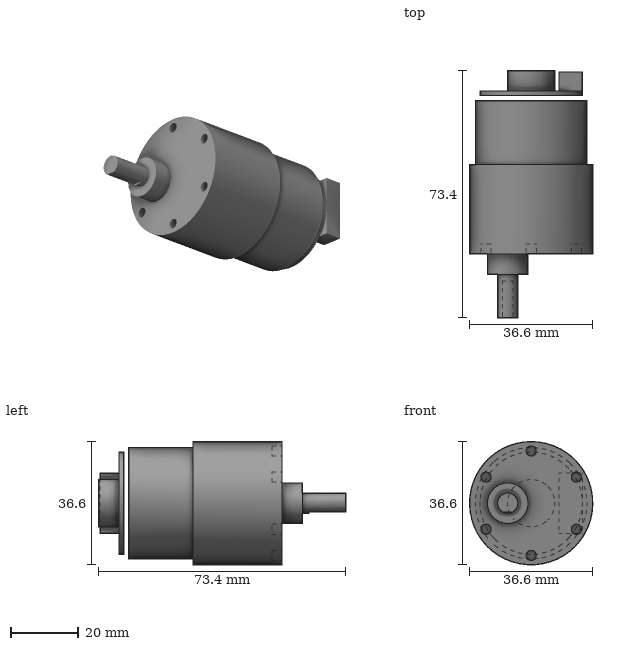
import cadquery as cq

OVERALL_LENGTH = 73.4
BOSS_LENGTH = 6.0
GEARBOX_LENGTH = 26.5
CAN_LENGTH = 19.0
BOARD_GAP = 1.5
BOARD_THICKNESS = 1.5
HUB_LENGTH = 6.0
CONNECTOR_LENGTH = 5.6

GEARBOX_DIAMETER = 36.6
CAN_DIAMETER = 33.1
BOSS_DIAMETER = 12.05
SHAFT_DIAMETER = 6.0
BOARD_DIAMETER = 30.4
HUB_DIAMETER = 14.0

SHAFT_OFFSET = 7.0
FLAT_DISTANCE = 2.6
ROUND_SHAFT_LENGTH = 2.0

HOLE_COUNT = 6
HOLE_DIAMETER = 3.0
HOLE_CIRCLE_DIAMETER = 31.0
HOLE_DEPTH = 3.0

CONNECTOR_WIDTH = 7.0
CONNECTOR_HEIGHT = 17.9

GEARBOX_FRONT = 0.0
GEARBOX_REAR = GEARBOX_FRONT + GEARBOX_LENGTH
CAN_REAR = GEARBOX_REAR + CAN_LENGTH
BOARD_FRONT = CAN_REAR + BOARD_GAP
BOARD_REAR = BOARD_FRONT + BOARD_THICKNESS
HUB_REAR = BOARD_REAR + HUB_LENGTH
BOSS_FRONT = GEARBOX_FRONT - BOSS_LENGTH
SHAFT_TIP = HUB_REAR - OVERALL_LENGTH


def cylinder(diameter, y_start, y_end, x=0.0, z=0.0):
    """Cylinder parallel to Y, running from y_start to y_end."""
    axis = cq.Vector(0, 1, 0)
    base = cq.Vector(x, y_start, z)
    return cq.Workplane(cq.Solid.makeCylinder(diameter / 2, y_end - y_start, base, axis))


def make_shaft():
    """Output shaft with a D flat on its lower side."""
    shaft = cylinder(SHAFT_DIAMETER, SHAFT_TIP, BOSS_FRONT, x=-SHAFT_OFFSET)
    flat_length = BOSS_FRONT - ROUND_SHAFT_LENGTH - SHAFT_TIP
    flat_cut = (
        cq.Workplane()
        .box(SHAFT_DIAMETER, flat_length, SHAFT_DIAMETER, centered=(True, False, False))
        .translate((-SHAFT_OFFSET, SHAFT_TIP, -FLAT_DISTANCE - SHAFT_DIAMETER))
    )
    return shaft.cut(flat_cut)


def make_mounting_holes():
    """Ring of blind holes in the gearbox front face, the first one at the top."""
    hole = cylinder(
        HOLE_DIAMETER, GEARBOX_FRONT, GEARBOX_FRONT + HOLE_DEPTH, z=HOLE_CIRCLE_DIAMETER / 2
    )
    holes = cq.Workplane()
    for index in range(HOLE_COUNT):
        holes = holes.add(hole.rotate((0, 0, 0), (0, 1, 0), index * 360 / HOLE_COUNT))
    return holes.combine()


def make_gearmotor():
    """Gearbox, motor can, eccentric boss and output shaft as one body."""
    gearbox = cylinder(GEARBOX_DIAMETER, GEARBOX_FRONT, GEARBOX_REAR)
    can = cylinder(CAN_DIAMETER, GEARBOX_REAR, CAN_REAR)
    boss = cylinder(BOSS_DIAMETER, BOSS_FRONT, GEARBOX_FRONT, x=-SHAFT_OFFSET)
    return gearbox.union(can).union(boss).union(make_shaft()).cut(make_mounting_holes())


def make_encoder():
    """Round encoder board carrying a central hub and a connector block."""
    board = cylinder(BOARD_DIAMETER, BOARD_FRONT, BOARD_REAR)
    hub = cylinder(HUB_DIAMETER, BOARD_REAR, HUB_REAR)
    connector = (
        cq.Workplane()
        .box(CONNECTOR_WIDTH, CONNECTOR_LENGTH, CONNECTOR_HEIGHT, centered=(False, False, True))
        .translate((BOARD_DIAMETER / 2 - CONNECTOR_WIDTH, BOARD_REAR, 0))
    )
    return board.union(hub).union(connector)


gearmotor = make_gearmotor()
encoder = make_encoder()
result = cq.Compound.makeCompound([gearmotor.val(), encoder.val()])